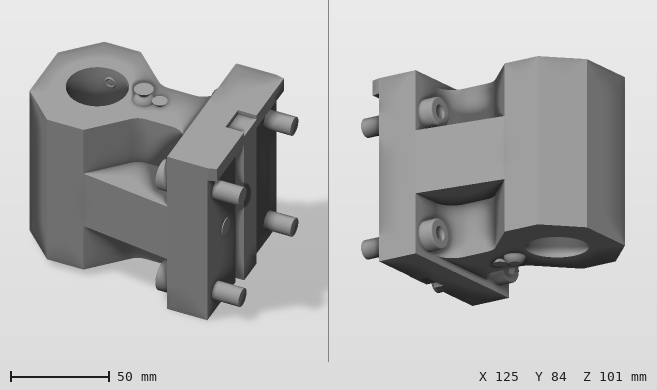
import cadquery as cq

total_length = 125.0

body_width = 70.0
body_height = 90.0
nose_bevel = 17.9
neck_start = 38.1
neck_width = 28.0
neck_fillet = 10.0
web_height = 33.8
bore_x = 29.9
bore_diameter = 32.0

flange_front = 87.9
flange_back = 110.2
flange_width = 84.0
flange_height = 98.0
lip_back = 115.0
lip_height = 8.0
lip_taper = 1.2

key_width = 15.1
key_front = 104.6
key_end_gap = 2.6

screw_spacing_y = 63.1
screw_spacing_z = 65.0
screw_pattern_z = -4.5
screw_diameter = 10.0
head_diameter = 16.0
head_height = 8.0
head_fillet = 0.9
socket_diameter = 7.8
socket_depth = 3.5

seat_diameter = 10.0
seat_y = -20.0
seat_height = 0.5

tip_diameter = 6.8
tip_y = 15.2
tip_below_top = 8.8
tip_embed = 2.5
tip_point_height = 0.5
cup_diameter = 5.2
cup_floor_diameter = 2.2
cup_depth = 1.2

ball_x = 55.8
ball_radius = 5.9
ball_sink = 1.2
ball_cut_height = 3.8
flare_height = 7.0
flare_neck_radius = 2.6
flare_radius = 5.0

plug_x = 64.6
plug_height = 2.4
plug_base_radius = 2.1
plug_radius = 4.0

body_half = body_width / 2
body_top = body_height / 2
flange_half = flange_width / 2
flange_top = flange_height / 2
neck_half = neck_width / 2


def slab(x_start, x_end, width, height):
    """Box between two X positions, centred in Y and Z."""
    block = cq.Workplane("XY").box(x_end - x_start, width, height, centered=(False, True, True))
    return block.translate((x_start, 0, 0))


def prism(profile, height):
    """Extrude a closed XY profile equally up and down."""
    return profile.extrude(height / 2, both=True)


def neck_recess(side):
    """Cutter for the space beside the neck, on the +Y (1) or -Y (-1) side."""
    corner_x = neck_start + body_half - neck_half
    profile = (
        cq.Workplane("XY")
        .moveTo(neck_start, side * body_half)
        .lineTo(corner_x, side * neck_half)
        .lineTo(flange_front, side * neck_half)
        .lineTo(flange_front, side * body_half)
        .close()
    )
    neck_side = "<Y" if side > 0 else ">Y"
    recess = prism(profile, body_height)
    return recess.faces(neck_side).edges("|Z").fillet(neck_fillet)


def make_body():
    nose_half = body_half - nose_bevel
    profile = cq.Workplane("XY").polyline([
        (0, -nose_half),
        (nose_bevel, -body_half),
        (flange_front, -body_half),
        (flange_front, body_half),
        (nose_bevel, body_half),
        (0, nose_half),
    ]).close()
    body = prism(profile, body_height)
    for side in (-1, 1):
        body = body.cut(neck_recess(side))
    return body


def make_web():
    """Middle web that widens from the body to the flange."""
    profile = cq.Workplane("XY").polyline([
        (neck_start, -body_half),
        (flange_front, -flange_half),
        (flange_front, flange_half),
        (neck_start, body_half),
    ]).close()
    return prism(profile, web_height)


def make_flange():
    plate = slab(flange_front, flange_back, flange_width, flange_height)
    lip = (
        cq.Workplane("XY", origin=(0, 0, flange_top - lip_height))
        .polyline([
            (flange_back, -flange_half),
            (lip_back, -flange_half + lip_taper),
            (lip_back, flange_half - lip_taper),
            (flange_back, flange_half),
        ])
        .close()
        .extrude(lip_height)
    )
    groove = slab(key_front, lip_back, key_width, flange_height)
    key = slab(key_front, lip_back, key_width, flange_height - 2 * key_end_gap)
    seat = (
        cq.Workplane("YZ", origin=(flange_back, seat_y, screw_pattern_z))
        .circle(seat_diameter / 2)
        .extrude(seat_height)
    )
    return plate.union(lip).cut(groove).union(key).union(seat)


def make_screw(y, z):
    head_start = flange_front - head_height
    plane = cq.Workplane("YZ", origin=(head_start, y, z))
    head = plane.circle(head_diameter / 2).extrude(head_height).faces("<X").edges().fillet(head_fillet)
    shank = plane.circle(screw_diameter / 2).extrude(total_length - head_start)
    socket = plane.circle(socket_diameter / 2).extrude(socket_depth)
    return head.union(shank).cut(socket)


def make_set_screw_tip(side):
    """Cup-pointed tip on the +Y (1) or -Y (-1) bore wall."""
    z = body_top - tip_below_top
    inward = cq.Vector(0, -side, 0)
    point_y = tip_y + tip_point_height
    start = cq.Vector(bore_x, side * (tip_y + tip_embed), z)
    point_base = cq.Vector(bore_x, side * point_y, z)
    face_centre = cq.Vector(bore_x, side * tip_y, z)
    stem = cq.Solid.makeCylinder(tip_diameter / 2, tip_embed - tip_point_height, start, inward)
    point = cq.Solid.makeCone(tip_diameter / 2, cup_diameter / 2, tip_point_height, point_base, inward)
    cup = cq.Solid.makeCone(cup_diameter / 2, cup_floor_diameter / 2, cup_depth, face_centre, -inward)
    return stem.fuse(point).cut(cup)


def make_ball(side):
    """Truncated ball on the upper (1) or lower (-1) end of the body."""
    centre_z = side * (body_top - ball_sink)
    keep_height = 2 * (body_top + ball_cut_height)
    keep = cq.Workplane("XY").box(total_length, body_width, keep_height).translate((ball_x, 0, 0))
    return cq.Workplane("XY").sphere(ball_radius).translate((ball_x, 0, centre_z)).intersect(keep)


def make_flare():
    """Flared cone standing on the flat of the upper ball."""
    base = cq.Vector(ball_x, 0, body_top + ball_cut_height)
    cone_height = flare_height - ball_cut_height
    return cq.Solid.makeCone(flare_neck_radius, flare_radius, cone_height, base, cq.Vector(0, 0, 1))


def make_plug(side):
    base = cq.Vector(plug_x, 0, side * body_top)
    return cq.Solid.makeCone(plug_base_radius, plug_radius, plug_height, base, cq.Vector(0, 0, side))


bore = prism(cq.Workplane("XY").center(bore_x, 0).circle(bore_diameter / 2), body_height)
result = make_body().union(make_web()).union(make_flange()).cut(bore)

for side in (-1, 1):
    result = result.union(make_set_screw_tip(side))
    result = result.union(make_ball(side))
    result = result.union(make_plug(side))
result = result.union(make_flare())

for y_side in (-1, 1):
    for z_side in (-1, 1):
        screw_y = y_side * screw_spacing_y / 2
        screw_z = screw_pattern_z + z_side * screw_spacing_z / 2
        result = result.union(make_screw(screw_y, screw_z))